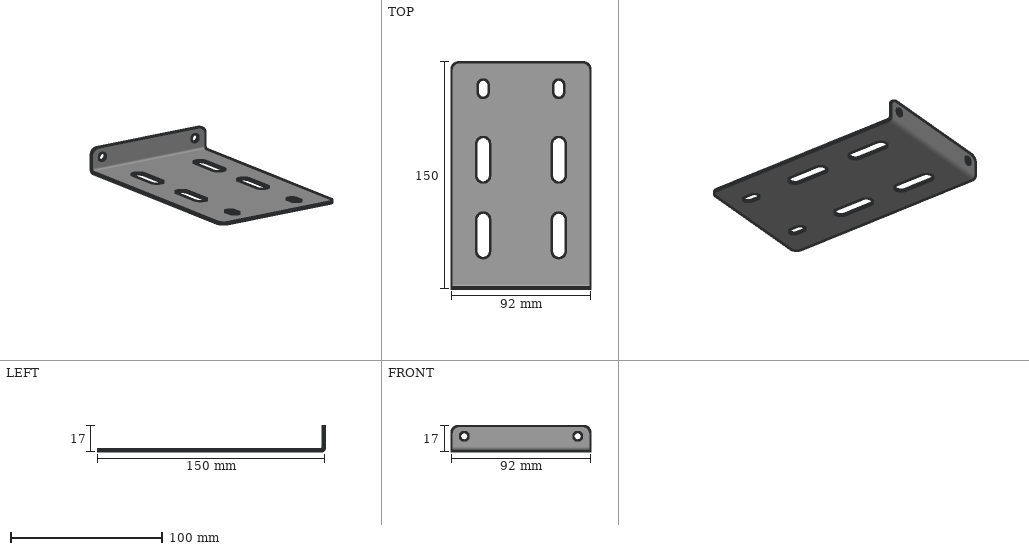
import cadquery as cq

width = 92.0
length = 150.0
height = 17.0
thickness = 1.5
bend_inner_radius = 1.5
bend_outer_radius = bend_inner_radius + thickness
corner_radius = 5.0

slot_column_spacing = 50.0
long_slot_length = 30.0
long_slot_width = 9.0
first_long_slot_y = 35.5
long_slot_pitch = 50.0
short_slot_length = 12.0
short_slot_width = 7.0
short_slot_y = 132.5

flange_hole_diameter = 5.5
flange_hole_spacing = 75.0
flange_hole_z = 10.0


def bent_sheet():
    """Base plate with an upright flange along its front edge."""
    base = cq.Workplane("XY").box(width, length, thickness, centered=(True, False, False))
    flange = cq.Workplane("XY").box(width, thickness, height, centered=(True, False, False))
    bend_fill = cq.Workplane("XY").box(
        width, bend_outer_radius, bend_outer_radius, centered=(True, False, False)
    )
    bend_bore = (
        cq.Workplane("YZ")
        .center(bend_outer_radius, bend_outer_radius)
        .circle(bend_inner_radius)
        .extrude(width / 2, both=True)
    )
    sheet = base.union(flange).union(bend_fill).cut(bend_bore)
    return sheet.edges("|X and <Y and <Z").fillet(bend_outer_radius)


def round_free_corners(sheet):
    """Round the two rear base corners and the two upper flange corners."""
    sheet = sheet.edges("|Z and >Y").fillet(corner_radius)
    return sheet.edges("|Y and >Z").edges("<X or >X").fillet(corner_radius)


def slot_pair(y, slot_length, slot_width):
    """Cutter for two slots running along Y, one in each column."""
    half_spacing = slot_column_spacing / 2
    return (
        cq.Workplane("XY")
        .pushPoints([(-half_spacing, y), (half_spacing, y)])
        .slot2D(slot_length, slot_width, 90)
        .extrude(thickness)
    )


def flange_holes():
    """Cutter for the two holes through the flange."""
    half_spacing = flange_hole_spacing / 2
    return (
        cq.Workplane("XZ")
        .pushPoints([(-half_spacing, flange_hole_z), (half_spacing, flange_hole_z)])
        .circle(flange_hole_diameter / 2)
        .extrude(-thickness)
    )


result = round_free_corners(bent_sheet())
for row in range(2):
    row_y = first_long_slot_y + row * long_slot_pitch
    result = result.cut(slot_pair(row_y, long_slot_length, long_slot_width))
result = result.cut(slot_pair(short_slot_y, short_slot_length, short_slot_width))
result = result.cut(flange_holes())